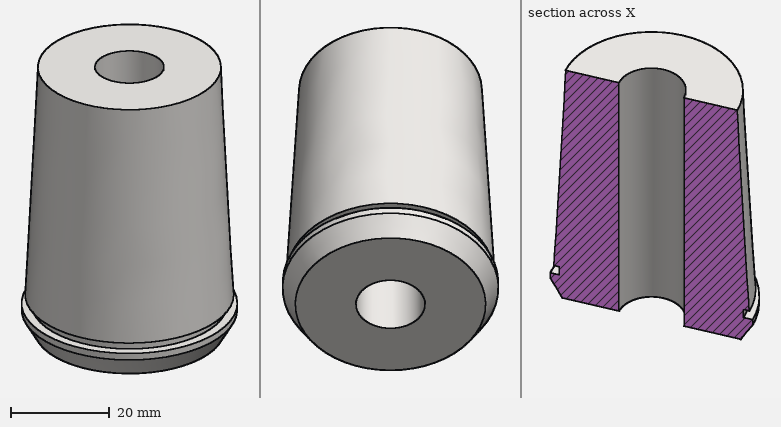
import cadquery as cq

height = 60.0
chamfer_height = 4.5
flange_top = 6.0
groove_top = 8.0

base_diameter = 38.5
flange_diameter = 43.7
groove_diameter = 39.8
cone_base_diameter = 42.25
cone_top_diameter = 37.1
bore_diameter = 14.0

profile = [
    (bore_diameter / 2, 0),
    (base_diameter / 2, 0),
    (flange_diameter / 2, chamfer_height),
    (flange_diameter / 2, flange_top),
    (groove_diameter / 2, flange_top),
    (groove_diameter / 2, groove_top),
    (cone_base_diameter / 2, groove_top),
    (cone_top_diameter / 2, height),
    (bore_diameter / 2, height),
]

result = (
    cq.Workplane("XZ")
    .polyline(profile)
    .close()
    .revolve(360, (0, 0), (0, 1))
)